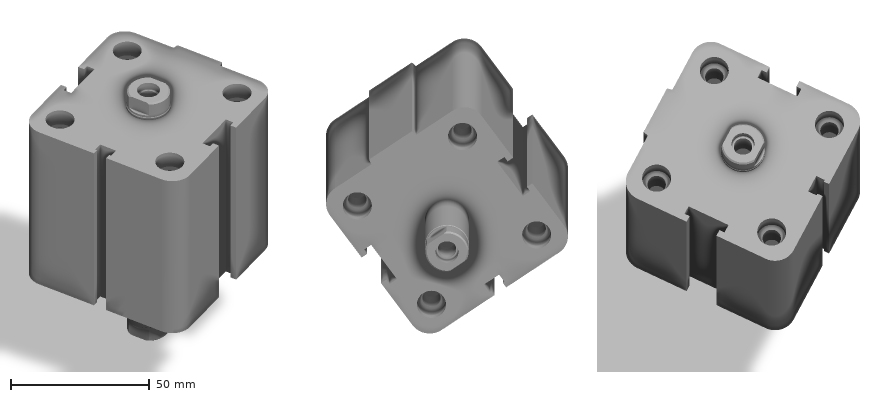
import cadquery as cq

housing_width = 67.0
corner_radius = 7.5
housing_height = 70.5

pad_base_width = 19.8
pad_top_width = 18.9
pad_height = 2.0

side_slot_opening = 12.0
side_slot_inner = 16.1
side_slot_lip = 2.4
side_slot_depth = 5.6
front_slot_opening = 5.2
front_slot_inner = 6.6
front_slot_lip = 2.1
front_slot_depth = 5.5

hole_spacing = 46.5
hole_diameter = 6.6
hole_depth = 16.6
counterbore_diameter = 10.5
counterbore_depth = 6.4

total_length = 110.5
rod_diameter = 16.0
tip_diameter = 15.6
tip_length = 6.4
tip_chamfer = 0.5
shoulder_chamfer = (rod_diameter - tip_diameter) / 2
top_projection = 7.5
flat_width = 13.0
flat_length = 5.5

rod_bore_diameter = 6.6
rod_bore_depth = 13.3
rod_mouth_diameter = 8.3
rod_mouth_depth = 3.0

rod_top = total_length / 2
rod_bottom = -total_length / 2
housing_top = rod_top - top_projection
housing_bottom = housing_top - housing_height


def slot_cutter(opening, inner, lip, depth):
    """T-slot that opens in the -Y face and runs the full housing height."""
    face = -housing_width / 2
    neck = (
        cq.Workplane("XY", origin=(0, face + lip / 2, housing_bottom))
        .rect(opening, lip)
        .extrude(housing_height)
    )
    channel = (
        cq.Workplane("XY", origin=(0, face + (lip + depth) / 2, housing_bottom))
        .rect(inner, depth - lip)
        .extrude(housing_height)
    )
    return neck.union(channel)


def stepped_hole(mouth_diameter, mouth_depth, bore_diameter, bore_depth):
    """Blind stepped hole going down from the origin."""
    mouth = cq.Workplane("XY").circle(mouth_diameter / 2).extrude(-mouth_depth)
    bore = cq.Workplane("XY").circle(bore_diameter / 2).extrude(-bore_depth)
    return mouth.union(bore)


def at_both_ends(cutter, x, y, top, bottom):
    """Cutter placed downward at the top face and upward at the bottom face."""
    upper = cutter.translate((x, y, top))
    lower = cutter.mirror("XY").translate((x, y, bottom))
    return upper.union(lower)


def make_housing():
    """Square block with pad, T-slots, corner holes and the passage for the rod."""
    block = (
        cq.Workplane("XY", origin=(0, 0, housing_bottom))
        .rect(housing_width, housing_width)
        .extrude(housing_height)
        .edges("|Z")
        .fillet(corner_radius)
    )
    pad_base_y = housing_width / 2
    pad_top_y = pad_base_y + pad_height
    pad = (
        cq.Workplane("XY", origin=(0, 0, housing_bottom))
        .moveTo(-pad_base_width / 2, 0)
        .lineTo(pad_base_width / 2, 0)
        .lineTo(pad_base_width / 2, pad_base_y)
        .lineTo(pad_top_width / 2, pad_top_y)
        .lineTo(-pad_top_width / 2, pad_top_y)
        .lineTo(-pad_base_width / 2, pad_base_y)
        .close()
        .extrude(housing_height)
    )
    body = block.union(pad)

    side_slot = slot_cutter(side_slot_opening, side_slot_inner, side_slot_lip, side_slot_depth)
    for angle in (-90, 90):
        body = body.cut(side_slot.rotate((0, 0, 0), (0, 0, 1), angle))
    body = body.cut(slot_cutter(front_slot_opening, front_slot_inner, front_slot_lip, front_slot_depth))

    corner_hole = stepped_hole(counterbore_diameter, counterbore_depth, hole_diameter, hole_depth)
    for x in (-hole_spacing / 2, hole_spacing / 2):
        for y in (-hole_spacing / 2, hole_spacing / 2):
            body = body.cut(at_both_ends(corner_hole, x, y, housing_top, housing_bottom))

    rod_passage = (
        cq.Workplane("XY", origin=(0, 0, housing_bottom))
        .circle(rod_diameter / 2)
        .extrude(housing_height)
    )
    return body.cut(rod_passage)


def flat_cutter(side):
    """Block below the origin that mills one wrench flat, on the +Y (1) or -Y (-1) side."""
    block_centre_y = side * (flat_width + rod_diameter) / 2
    return cq.Workplane("XY").center(0, block_centre_y).rect(rod_diameter, rod_diameter).extrude(-flat_length)


def make_rod():
    """Round rod with chamfered shoulders, slimmer flatted tips and a stepped bore in each end."""
    shank_length = total_length - 2 * tip_length
    rod = (
        cq.Workplane("XY", origin=(0, 0, -shank_length / 2))
        .circle(rod_diameter / 2)
        .extrude(shank_length)
        .faces("<Z or >Z")
        .chamfer(shoulder_chamfer)
    )
    core = (
        cq.Workplane("XY", origin=(0, 0, rod_bottom))
        .circle(tip_diameter / 2)
        .extrude(total_length)
        .faces("<Z or >Z")
        .chamfer(tip_chamfer)
    )
    rod = rod.union(core)
    for side in (-1, 1):
        flats = at_both_ends(flat_cutter(side), 0, 0, rod_top, rod_bottom)
        rod = rod.cut(flats)
    end_bore = stepped_hole(rod_mouth_diameter, rod_mouth_depth, rod_bore_diameter, rod_bore_depth)
    return rod.cut(at_both_ends(end_bore, 0, 0, rod_top, rod_bottom))


housing = make_housing()
rod = make_rod()

result = cq.Compound.makeCompound([housing.val(), rod.val()])